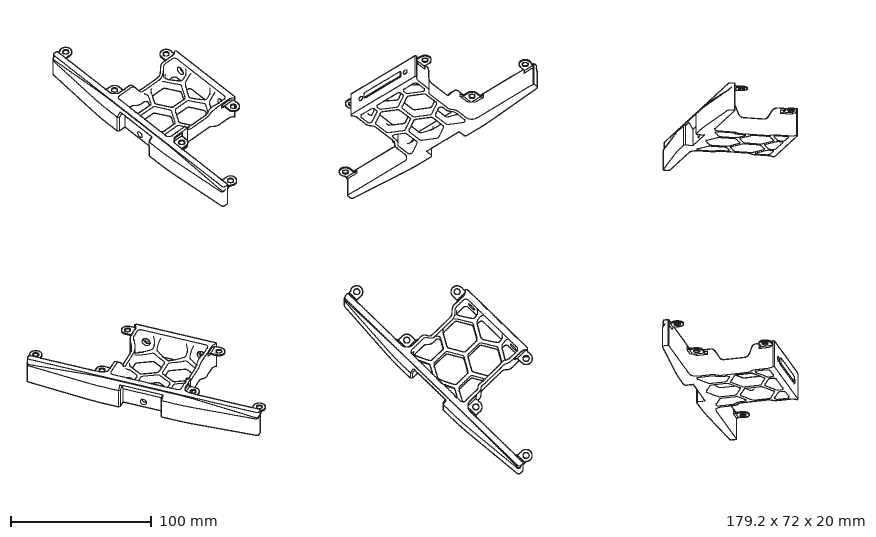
import cadquery as cq
import math

height = 20.0

bar_half_length = 88.4
bar_front_y = 4.8
bar_back_y = 9.2
bar_corner_radius = 1.9
bar_back_chamfer = 0.5
bumper_flat_half = 26.3
bumper_bend_end = 42.4
bumper_taper_slope = 0.08
bumper_edge_z = 14.6
bumper_bevel_angle = 45.0

recess_half_width = 15.4
recess_chamfer = 1.1
recess_back_y = 6.6
recess_lip_y = 3.0
recess_lip_z = bumper_edge_z + recess_lip_y / math.tan(math.radians(bumper_bevel_angle))
recess_wall_top_z = 11.9
front_hole_diameter = 4.7
front_hole_z = 4.3

frame_rear_y = 71.0
wall_thickness = 2.3
wide_half = 29.05
waist_half = 25.9
front_wall_y = 9.6
rear_wall_y = 66.0
frame_mid_y = 40.0
jog_start_offset = 16.65
jog_end_offset = 9.65
inner_corner_radius = 2.5
root_radius = 5.4
rear_half_width = 31.7
rear_corner_chamfer = 1.4

dip_floor_z = 12.0
dip_mid_offset = 12.1
dip_angle = 60.0
dip_radius = 4.0

floor_thickness = 7.0
hex_pitch = 25.0
hex_half_angle = 30.0
rib_width = 2.8
hex_corner_radius = 2.0
blind_corner_radius = 1.35
hex_row_y = 46.05
ramp_radius = 11.0
side_fillet = 2.0

overall_width = 179.21
tab_radius = 4.4
tab_hole_diameter = 4.3
tab_bottom_z = 16.8
tab_thickness = 1.0
tab_flare_height = 0.75
tab_flare_side = 1.8
tab_flare_reach = 1.25
inner_tab_x = 34.75
outer_tab_x = overall_width / 2 - tab_radius
front_tab_y = 14.7
rear_tab_y = 65.2

rear_hole_x = 21.0
rear_hole_z = 10.0
rear_hole_diameter = 3.5
rear_counterbore_diameter = 6.0
rear_counterbore_depth = 2.5
rear_pad_half_length = 17.2
rear_pad_height = 4.3
rear_pad_y = 72.0

sides = (-1, 1)
select_margin = 0.1


def box(x0, x1, y0, y1, z0, z1):
    """Box between two opposite corners, in any order."""
    size = (abs(x1 - x0), abs(y1 - y0), abs(z1 - z0))
    middle = ((x0 + x1) / 2, (y0 + y1) / 2, (z0 + z1) / 2)
    return cq.Workplane("XY").box(*size).translate(middle)


def cylinder_along_y(diameter, x, z, y0, y1):
    """Cylinder with its axis along +Y."""
    return cq.Workplane("XZ", origin=(x, y0, z)).circle(diameter / 2).extrude(y0 - y1)


def make_bar():
    """Straight bar with rounded front and chamfered back corners."""
    bar = box(-bar_half_length, bar_half_length, bar_front_y, bar_back_y, 0, height)
    bar = bar.edges("|Z and <Y").fillet(bar_corner_radius)
    return bar.edges("|Z and >Y").chamfer(bar_back_chamfer)


def make_bumper():
    """Tapered nose whose top edge is bevelled until it meets the bar."""
    bend_length = bumper_bend_end - bumper_flat_half
    bend_end_y = bumper_taper_slope * bend_length / 2
    bend_mid = (bumper_flat_half + bend_length / 2, bend_end_y / 4)
    blank_end_x = bar_half_length + bar_back_y
    blank_end_y = bend_end_y + bumper_taper_slope * (blank_end_x - bumper_bend_end)
    blank_back_y = 2 * bar_back_y
    outline = (
        cq.Workplane("XY")
        .moveTo(-bumper_flat_half, 0)
        .lineTo(bumper_flat_half, 0)
        .threePointArc(bend_mid, (bumper_bend_end, bend_end_y))
        .lineTo(blank_end_x, blank_end_y)
        .lineTo(blank_end_x, blank_back_y)
        .lineTo(-blank_end_x, blank_back_y)
        .lineTo(-blank_end_x, blank_end_y)
        .lineTo(-bumper_bend_end, bend_end_y)
        .threePointArc((-bend_mid[0], bend_mid[1]), (-bumper_flat_half, 0))
        .close()
    )
    nose = outline.extrude(bumper_edge_z)
    top_outline = nose.faces(">Z").wires().toPending()
    bevel = top_outline.extrude(bar_front_y, taper=bumper_bevel_angle, combine=False)
    seat_y = bar_front_y + bar_corner_radius
    trim = box(-bar_half_length, bar_half_length, 0, seat_y, 0, height)
    bumper = nose.union(bevel).intersect(trim)
    front_corners = cq.selectors.BoxSelector(
        (-bar_half_length - select_margin, 0, 0),
        (bar_half_length + select_margin, bar_front_y, height),
    )
    end_edges = bumper.edges("|Z and (<X or >X)").edges(front_corners)
    return end_edges.fillet(bar_corner_radius)


def cut_recess(body):
    """Pocket in the nose: upright back, sloping ceiling and chamfered side edges."""
    section = [
        (0, 0),
        (recess_back_y, 0),
        (recess_back_y, recess_wall_top_z),
        (recess_lip_y, recess_lip_z),
        (0, recess_lip_z),
    ]
    pocket = cq.Workplane("YZ").polyline(section).close().extrude(recess_half_width, both=True)
    hole = cylinder_along_y(front_hole_diameter, 0, front_hole_z, 0, front_wall_y)
    body = body.cut(pocket)
    for side in sides:
        x = side * recess_half_width
        mouth = cq.selectors.BoxSelector(
            (x - select_margin, -select_margin, select_margin),
            (x + select_margin, recess_lip_y, height),
        )
        body = body.edges(mouth).chamfer(recess_chamfer)
    return body.cut(hole)


def frame_prism(inset, y_front, y_rear):
    """Waisted prism of the frame, its sides moved inwards by `inset`.

    Each side steps in to the waist through two tangent arcs. Both arcs turn through the same
    angle and keep their centres for every inset, so the walls have an even thickness.
    """
    run = jog_start_offset - jog_end_offset
    turn = 2 * math.atan((wide_half - waist_half) / run)
    radius_sum = run / math.sin(turn)
    outer_radius = (radius_sum + wall_thickness) / 2 - inset
    waist_radius = (radius_sum - wall_thickness) / 2 + inset
    wide = wide_half - inset
    waist = waist_half - inset

    def wide_point(angle):
        drop = outer_radius * (1 - math.cos(angle))
        return wide - drop, jog_start_offset - outer_radius * math.sin(angle)

    def waist_point(angle):
        rise = waist_radius * (1 - math.cos(angle))
        return waist + rise, jog_end_offset + waist_radius * math.sin(angle)

    def placed(point, x_sign, y_sign):
        return x_sign * point[0], frame_mid_y + y_sign * point[1]

    def add_jog(sketch, x_sign, y_sign, inwards):
        """One S-shaped step of a side, walked from wide to waist when `inwards` is true."""
        stops = [
            wide_point(0),
            wide_point(turn / 2),
            wide_point(turn),
            waist_point(turn / 2),
            waist_point(0),
        ]
        if not inwards:
            stops.reverse()
        start, first_mid, junction, second_mid, end = [placed(p, x_sign, y_sign) for p in stops]
        sketch = sketch.lineTo(*start).threePointArc(first_mid, junction)
        return sketch.threePointArc(second_mid, end)

    sketch = cq.Workplane("XY").moveTo(wide, y_front)
    sketch = add_jog(sketch, 1, -1, True)
    sketch = add_jog(sketch, 1, 1, False)
    sketch = sketch.lineTo(wide, y_rear).lineTo(-wide, y_rear)
    sketch = add_jog(sketch, -1, 1, True)
    sketch = add_jog(sketch, -1, -1, False)
    return sketch.lineTo(-wide, y_front).close().extrude(height)


def make_room():
    """Full-height space inside the walls."""
    room = frame_prism(wall_thickness, front_wall_y, rear_wall_y)
    return room.edges("|Z and (<Y or >Y)").fillet(inner_corner_radius)


def root_round(side, y):
    """Upright cylinder that hollows a root beside one side of the frame."""
    x = side * (wide_half + root_radius)
    return cq.Workplane("XY").center(x, y).circle(root_radius).extrude(height)


def make_outer_frame():
    """Solid frame with concave roots where it meets the bar and the wider rear wall."""
    frame = frame_prism(0, recess_back_y, frame_rear_y)
    front_root_y = bar_back_y + root_radius
    rear_root_y = frame_rear_y - root_radius
    for side in sides:
        wall_x = side * wide_half
        front_root = box(wall_x, wall_x + side * root_radius, bar_back_y, front_root_y, 0, height)
        rear_root = box(wall_x, side * rear_half_width, rear_root_y, frame_rear_y, 0, height)
        rear_corner = ">X" if side > 0 else "<X"
        rear_root = rear_root.edges("|Z and >Y").edges(rear_corner).chamfer(rear_corner_chamfer)
        frame = frame.union(front_root.cut(root_round(side, front_root_y)))
        frame = frame.union(rear_root.cut(root_round(side, rear_root_y)))
    return frame


def cut_dip(body):
    """Lower the middle of both side walls with an S-shaped ramp at each end."""
    half_run = (height - dip_floor_z) / math.tan(math.radians(dip_angle)) / 2
    top_half = dip_mid_offset + half_run
    floor_half = dip_mid_offset - half_run
    lid_half = top_half + 2 * dip_radius
    lid_z = 2 * height
    profile = [
        (frame_mid_y - lid_half, height),
        (frame_mid_y - top_half, height),
        (frame_mid_y - floor_half, dip_floor_z),
        (frame_mid_y + floor_half, dip_floor_z),
        (frame_mid_y + top_half, height),
        (frame_mid_y + lid_half, height),
        (frame_mid_y + lid_half, lid_z),
        (frame_mid_y - lid_half, lid_z),
    ]
    dip = cq.Workplane("YZ").polyline(profile).close().extrude(wide_half, both=True)
    bends = cq.selectors.BoxSelector(
        (-wide_half, frame_mid_y - top_half - select_margin, 0),
        (wide_half, frame_mid_y + top_half + select_margin, height + select_margin),
    )
    return body.cut(dip.edges("|X").edges(bends).fillet(dip_radius))


def make_cavity():
    """Space above the honeycomb floor, which sweeps up to the front and rear walls."""
    room = make_room().intersect(
        box(-wide_half, wide_half, front_wall_y, rear_wall_y, floor_thickness, height)
    )
    room = room.faces("<Z").edges().fillet(side_fillet)
    sweep = box(-wide_half, wide_half, front_wall_y, rear_wall_y, floor_thickness, height + ramp_radius)
    sweep = sweep.edges("|X and <Z").fillet(ramp_radius)
    return room.intersect(sweep)


def cut_honeycomb(body):
    """Hexagonal openings with rounded corners, limited by the inside of the walls."""
    across_corners = (hex_pitch - rib_width) / math.cos(math.radians(hex_half_angle))
    row_pitch = hex_pitch * math.cos(math.radians(hex_half_angle))
    room = make_room()
    pair = (-0.5, 0.5)
    triple = (-1, 0, 1)
    rows = (
        (-2, pair, floor_thickness, blind_corner_radius),
        (-1, triple, 0, hex_corner_radius),
        (0, pair, 0, hex_corner_radius),
        (1, triple, 0, hex_corner_radius),
    )
    for row, columns, bottom_z, corner_radius in rows:
        for column in columns:
            center = (column * hex_pitch, hex_row_y + row * row_pitch, 0)
            cell = (
                cq.Workplane("XY")
                .transformed(offset=center, rotate=(0, 0, hex_half_angle))
                .polygon(6, across_corners)
                .extrude(height)
                .intersect(room)
            )
            shrunk = cell.faces("<Z").wires().val().offset2D(-corner_radius)[0]
            outline = shrunk.offset2D(corner_radius)[0]
            opening = cq.Solid.extrudeLinear(outline, [], cq.Vector(0, 0, height))
            body = body.cut(cq.Workplane(opening.translate(cq.Vector(0, 0, bottom_z))))
    return body


def flared_root(wall_point, direction):
    """Frustum that widens a tab where it meets a wall; `direction` points off the wall."""
    x, y = wall_point
    plane = cq.Plane(
        origin=(x, y, tab_bottom_z + tab_thickness / 2), xDir=(0, 0, 1), normal=direction
    )
    width = 2 * tab_radius
    return (
        cq.Workplane(plane)
        .rect(tab_thickness + 2 * tab_flare_height, width + 2 * tab_flare_side)
        .workplane(offset=tab_flare_reach)
        .rect(tab_thickness, width)
        .loft()
    )


def make_tab(x, y, wall_points):
    """Round tab with a straight arm to each wall point, all level with the tab."""
    tab_top_z = tab_bottom_z + tab_thickness
    tab = cq.Workplane("XY").center(x, y).circle(tab_radius).extrude(tab_thickness)
    tab = tab.translate((0, 0, tab_bottom_z))
    within_bar = box(-bar_half_length, bar_half_length, 0, frame_rear_y, 0, height)
    for wall_x, wall_y in wall_points:
        if wall_x != x:
            arm = box(x, wall_x, y - tab_radius, y + tab_radius, tab_bottom_z, tab_top_z)
            off_wall = (math.copysign(1, x), 0, 0)
        else:
            arm = box(x - tab_radius, x + tab_radius, y, wall_y, tab_bottom_z, tab_top_z)
            off_wall = (0, 1, 0)
        arm = arm.union(flared_root((wall_x, wall_y), off_wall))
        tab = tab.union(arm.intersect(within_bar))
    return tab


def tab_hole(x, y):
    """Screw hole through a tab."""
    return cq.Workplane("XY").center(x, y).circle(tab_hole_diameter / 2).extrude(height)


def add_tabs(body):
    """Three tabs on each side: two on the frame and one at the end of the bar."""
    for side in sides:
        inner_x = side * inner_tab_x
        outer_x = side * outer_tab_x
        wall_x = side * wide_half
        tabs = (
            (inner_x, rear_tab_y, [(wall_x, rear_tab_y)]),
            (inner_x, front_tab_y, [(wall_x, front_tab_y), (inner_x, bar_back_y)]),
            (outer_x, front_tab_y, [(outer_x, bar_back_y)]),
        )
        for x, y, wall_points in tabs:
            body = body.union(make_tab(x, y, wall_points)).cut(tab_hole(x, y))
    return body


def finish_rear_wall(body):
    """Counterbored screw holes and the raised pad on the rear face."""
    for side in sides:
        x = side * rear_hole_x
        bore_end = rear_wall_y + rear_counterbore_depth
        through = cylinder_along_y(rear_hole_diameter, x, rear_hole_z, rear_wall_y, frame_rear_y)
        bore = cylinder_along_y(rear_counterbore_diameter, x, rear_hole_z, rear_wall_y, bore_end)
        body = body.cut(through).cut(bore)
    pad = box(
        -rear_pad_half_length, rear_pad_half_length, frame_rear_y, rear_pad_y,
        rear_hole_z - rear_pad_height / 2, rear_hole_z + rear_pad_height / 2,
    )
    return body.union(pad)


body = make_bar().union(make_bumper())
body = body.union(make_outer_frame().cut(make_cavity()))
body = cut_recess(body)
body = cut_dip(body)
body = cut_honeycomb(body)
body = add_tabs(body)
result = finish_rear_wall(body)